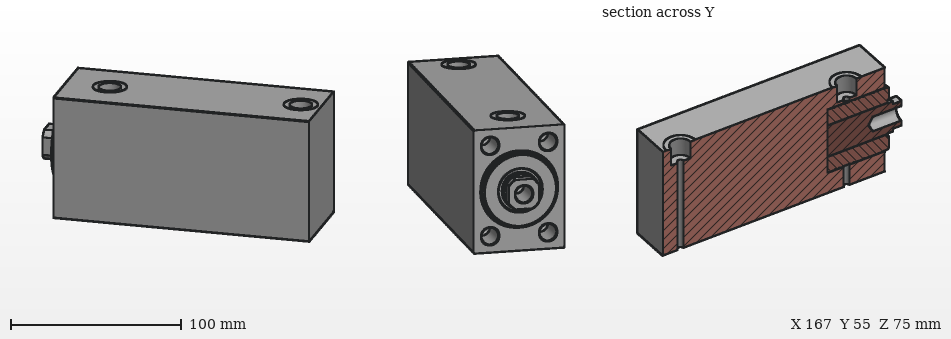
import cadquery as cq
import math

OVERALL_LENGTH = 167.0
ROD_REACH = 11.7
HOUSING_LENGTH = OVERALL_LENGTH - ROD_REACH
HOUSING_WIDTH = 55.0
HOUSING_HEIGHT = 75.0
EDGE_CHAMFER = 0.5

GLAND_DIAMETER = 45.1
GLAND_REACH = 3.0
GLAND_DEPTH = 40.0
GLAND_CHAMFER = 1.0
SEAT_CHAMFER = 1.0
WIPER_RECESS_DIAMETER = 26.0
WIPER_RECESS_DEPTH = 1.0
WIPER_RECESS_CHAMFER = 0.5

ROD_DIAMETER = 22.0
ROD_CHAMFER = 0.5
NOSE_DIAMETER = ROD_DIAMETER - 2 * ROD_CHAMFER
NOSE_ACROSS_FLATS = 18.0
NOSE_LENGTH = 5.8
ROD_LENGTH = ROD_REACH + GLAND_DEPTH

DRILL_DIAMETER = 10.2
DRILL_DEPTH = 20.0
DRILL_CHAMFER = 0.5
DRILL_POINT_ANGLE = 118.0
DRILL_POINT_LENGTH = DRILL_DIAMETER / 2 / math.tan(math.radians(DRILL_POINT_ANGLE / 2))
MOUNT_SPACING_Y = 35.0
MOUNT_SPACING_Z = 55.0

PORT_POSITIONS_X = (26.7, 142.8)
PORT_DIAMETER = 13.4
PORT_DEPTH = 12.0
SPOTFACE_DIAMETER = 20.0
SPOTFACE_DEPTH = 0.2
OIL_HOLE_DIAMETER = 4.0


def x_cylinder(diameter, x_start, length):
    """Cylinder on the X axis, running in +X from x_start."""
    return cq.Workplane("YZ", origin=(x_start, 0, 0)).circle(diameter / 2).extrude(length)


def x_countersink(diameter, chamfer, x_start):
    """45-degree cone on the X axis that chamfers the mouth of a hole at x_start."""
    cone = cq.Solid.makeCone(
        diameter / 2 + chamfer, diameter / 2, chamfer,
        pnt=cq.Vector(x_start, 0, 0), dir=cq.Vector(1, 0, 0),
    )
    return cq.Workplane(obj=cone)


def drilled_hole(x_start):
    """Drill cutter on the X axis: chamfered mouth, straight bore and conical point."""
    radius = DRILL_DIAMETER / 2
    x_bore_end = x_start + DRILL_DEPTH
    profile = (
        cq.Workplane("XY")
        .moveTo(x_start, 0)
        .lineTo(x_start, radius + DRILL_CHAMFER)
        .lineTo(x_start + DRILL_CHAMFER, radius)
        .lineTo(x_bore_end, radius)
        .lineTo(x_bore_end + DRILL_POINT_LENGTH, 0)
        .close()
    )
    return profile.revolve(360, (0, 0, 0), (1, 0, 0))


def oil_port(x):
    """Port cutter: shallow spotface, port bore and an oil hole drilled through to the underside."""
    top = cq.Workplane("XY", origin=(x, 0, HOUSING_HEIGHT / 2))
    spotface = top.circle(SPOTFACE_DIAMETER / 2).extrude(-SPOTFACE_DEPTH)
    bore = top.circle(PORT_DIAMETER / 2).extrude(-PORT_DEPTH)
    oil_hole = top.circle(OIL_HOLE_DIAMETER / 2).extrude(-HOUSING_HEIGHT)
    return spotface.union(bore).union(oil_hole)


def make_housing():
    """Rectangular block with the gland seat, mounting holes and oil ports."""
    housing = (
        cq.Workplane("YZ")
        .rect(HOUSING_WIDTH, HOUSING_HEIGHT)
        .extrude(HOUSING_LENGTH)
        .edges("|X")
        .chamfer(EDGE_CHAMFER)
    )
    housing = housing.cut(x_cylinder(GLAND_DIAMETER, 0, GLAND_DEPTH))
    housing = housing.cut(x_countersink(GLAND_DIAMETER, SEAT_CHAMFER, 0))
    mounting_hole = drilled_hole(0)
    for side_y in (-1, 1):
        for side_z in (-1, 1):
            offset = (0, side_y * MOUNT_SPACING_Y / 2, side_z * MOUNT_SPACING_Z / 2)
            housing = housing.cut(mounting_hole.translate(offset))
    for x in PORT_POSITIONS_X:
        housing = housing.cut(oil_port(x))
    return housing


def make_gland():
    """Chamfered plug, bored for the rod, with a shallow wiper recess in its face."""
    gland = x_cylinder(GLAND_DIAMETER, -GLAND_REACH, GLAND_REACH + GLAND_DEPTH)
    gland = gland.faces("<X").chamfer(GLAND_CHAMFER)
    gland = gland.cut(x_cylinder(ROD_DIAMETER, -GLAND_REACH, GLAND_REACH + GLAND_DEPTH))
    gland = gland.cut(x_cylinder(WIPER_RECESS_DIAMETER, -GLAND_REACH, WIPER_RECESS_DEPTH))
    return gland.cut(x_countersink(WIPER_RECESS_DIAMETER, WIPER_RECESS_CHAMFER, -GLAND_REACH))


def make_rod():
    """Round rod ending flush with the gland, with a flatted nose and a drilled tip."""
    shank_start = -ROD_REACH + NOSE_LENGTH
    shank = x_cylinder(ROD_DIAMETER, shank_start, ROD_LENGTH - NOSE_LENGTH)
    shank = shank.faces("<X").chamfer(ROD_CHAMFER)
    flats = (
        cq.Workplane("YZ", origin=(-ROD_REACH, 0, 0))
        .rect(NOSE_ACROSS_FLATS, NOSE_ACROSS_FLATS)
        .extrude(NOSE_LENGTH)
    )
    nose = x_cylinder(NOSE_DIAMETER, -ROD_REACH, NOSE_LENGTH).intersect(flats)
    return shank.union(nose).cut(drilled_hole(-ROD_REACH))


housing = make_housing()
gland = make_gland()
rod = make_rod()

result = cq.Compound.makeCompound([housing.val(), gland.val(), rod.val()])